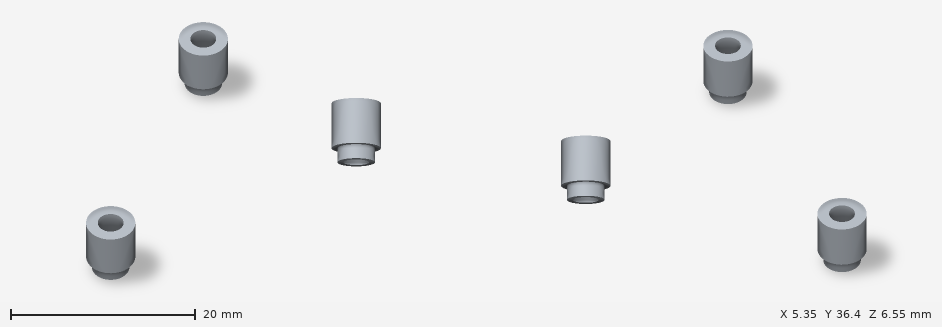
import cadquery as cq

overall_length = 36.35
overall_height = 6.55

sleeve_diameter = 5.35
spigot_diameter = 4.07
bore_diameter = 2.8
spigot_height = 1.55
sleeve_height = overall_height - spigot_height

spacer_offset = (overall_length - sleeve_diameter) / 2


def make_spacer(y_position):
    """Stepped tubular spacer with its spigot end on Z = 0."""
    return (
        cq.Workplane("XY")
        .center(0, y_position)
        .circle(spigot_diameter / 2)
        .extrude(spigot_height)
        .faces(">Z")
        .workplane()
        .circle(sleeve_diameter / 2)
        .extrude(sleeve_height)
        .faces(">Z")
        .workplane()
        .hole(bore_diameter)
    )


spacers = []
for side in (-1, 1):
    spacers.append(make_spacer(side * spacer_offset).val())

result = cq.Compound.makeCompound(spacers)